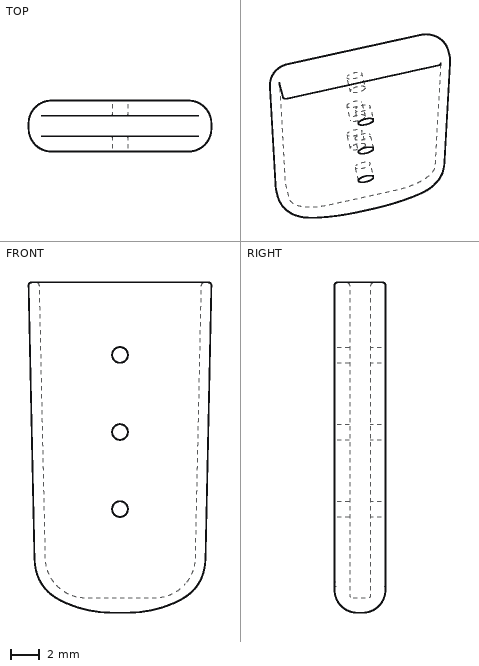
import cadquery as cq
import math

height = 22.93
mouth_half_width = 6.35
thickness = 3.55
side_round = 1.6

shoulder_half_width = 5.95
shoulder_height = 3.83
tip_flat_half_width = 0.53
tip_arc_radius = 8.03
tip_arc_angle = math.radians(24)

side_wall = 0.73
cavity_thickness = 1.45
floor_height = 1.05
floor_half_width = 2.38
cavity_edge_round = 0.18

outer_lip_round = 0.23
inner_lip_round = 0.25

hole_diameter = 1.08
lowest_hole_height = 7.2
hole_spacing = 5.35
hole_count = 3


def mirrored_x(point):
    return (-point[0], point[1])


def point_on_tip_arc(angle):
    """Point of the right-hand tip arc, with the angle measured from straight down."""
    return (
        tip_flat_half_width + tip_arc_radius * math.sin(angle),
        tip_arc_radius * (1 - math.cos(angle)),
    )


def extrude_centered(profile, depth):
    return profile.close().extrude(depth / 2, both=True)


def make_body():
    mouth = (mouth_half_width, height)
    shoulder = (shoulder_half_width, shoulder_height)
    arc_join = point_on_tip_arc(tip_arc_angle)
    arc_middle = point_on_tip_arc(tip_arc_angle / 2)
    tip = (tip_flat_half_width, 0)
    join_direction = (math.cos(tip_arc_angle), math.sin(tip_arc_angle))
    side_direction = (mouth[0] - shoulder[0], mouth[1] - shoulder[1])
    profile = (
        cq.Workplane("XZ")
        .moveTo(*mirrored_x(mouth))
        .lineTo(*mirrored_x(shoulder))
        .spline(
            [mirrored_x(shoulder), mirrored_x(arc_join)],
            tangents=[(side_direction[0], -side_direction[1]), (join_direction[0], -join_direction[1])],
        )
        .threePointArc(mirrored_x(arc_middle), mirrored_x(tip))
        .lineTo(*tip)
        .threePointArc(arc_middle, arc_join)
        .spline([arc_join, shoulder], tangents=[join_direction, side_direction])
        .lineTo(*mouth)
    )
    body = extrude_centered(profile, thickness)
    body = body.faces("<Y or >Y").edges("not >Z").fillet(side_round)
    return body.faces(">Z").edges().fillet(outer_lip_round)


def make_cavity():
    mouth_x = mouth_half_width - side_wall
    shoulder_x = shoulder_half_width - side_wall
    corner_radius = shoulder_x - floor_half_width
    corner_middle = (
        floor_half_width + corner_radius * math.sin(math.pi / 4),
        floor_height + corner_radius * (1 - math.cos(math.pi / 4)),
    )
    shoulder = (shoulder_x, floor_height + corner_radius)
    profile = (
        cq.Workplane("XZ")
        .moveTo(-mouth_x, height)
        .lineTo(*mirrored_x(shoulder))
        .threePointArc(mirrored_x(corner_middle), (-floor_half_width, floor_height))
        .lineTo(floor_half_width, floor_height)
        .threePointArc(corner_middle, shoulder)
        .lineTo(mouth_x, height)
    )
    cavity = extrude_centered(profile, cavity_thickness)
    return cavity.faces("<Y or >Y").edges("not >Z").fillet(cavity_edge_round)


def make_holes():
    centers = [(0, lowest_hole_height + i * hole_spacing) for i in range(hole_count)]
    return (
        cq.Workplane("XZ")
        .pushPoints(centers)
        .circle(hole_diameter / 2)
        .extrude(thickness, both=True)
    )


sheath = make_body().cut(make_cavity())
inner_mouth_zone = cq.selectors.BoxSelector(
    (-mouth_half_width + side_wall / 2, -cavity_thickness, height - outer_lip_round / 2),
    (mouth_half_width - side_wall / 2, cavity_thickness, height + outer_lip_round),
)
inner_mouth_edges = sheath.faces(">Z").edges(inner_mouth_zone)
sheath = inner_mouth_edges.fillet(inner_lip_round)
result = sheath.cut(make_holes())